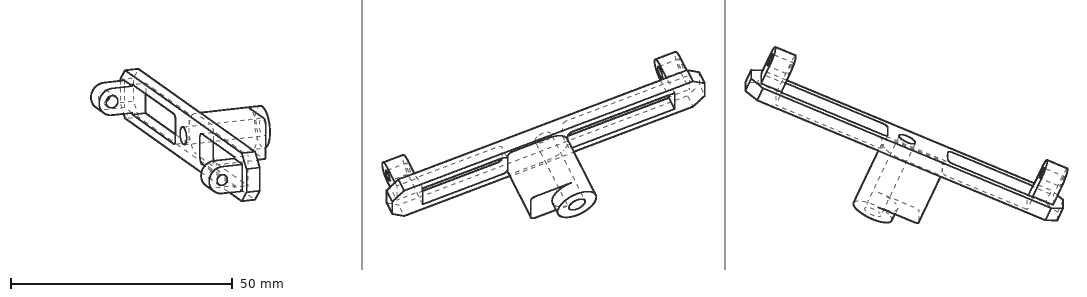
import cadquery as cq

plate_length = 77.0
plate_height = 11.3
plate_thickness = 3.2
corner_cut = 2.9

lug_end_gap = 2.5
lug_width = 5.0
lug_radius = 3.15
lug_reach = 8.1
left_pin_diameter = 2.85
right_pin_diameter = 2.5

window_height = 7.1
window_corner_radius = 1.2
left_window_inner_x = -4.8
right_window_inner_x = 10.1

hub_diameter = 9.55
hub_length = 15.95
bore_diameter = 4.0
block_width = 10.0
block_length = 12.8
block_edge_radius = 1.15

half_length = plate_length / 2
lug_outer_x = half_length - lug_end_gap
lug_inner_x = lug_outer_x - lug_width
pin_y = lug_radius - lug_reach


def make_plate():
    plate = cq.Workplane("XY").box(
        plate_length, plate_thickness, plate_height, centered=(True, False, True)
    )
    return plate.edges("|Y").chamfer(corner_cut)


def make_window(outer_x, inner_x, inner_side):
    """Window cutter, rounded only at the corners next to the plate centre."""
    width = abs(outer_x - inner_x)
    window = cq.Workplane("XY").box(
        width, plate_thickness, window_height, centered=(True, False, True)
    )
    window = window.faces(inner_side).edges("|Y").fillet(window_corner_radius)
    return window.translate(((outer_x + inner_x) / 2, 0, 0))


def make_lug(start_x, pin_diameter):
    """Round-ended lug extending from start_x toward +X, with a cross hole."""
    lug = (
        cq.Workplane("YZ", origin=(start_x, 0, 0))
        .moveTo(0, lug_radius)
        .lineTo(pin_y, lug_radius)
        .threePointArc((-lug_reach, 0), (pin_y, -lug_radius))
        .lineTo(0, -lug_radius)
        .close()
        .extrude(lug_width)
    )
    pin_hole = (
        cq.Workplane("YZ", origin=(start_x, pin_y, 0))
        .circle(pin_diameter / 2)
        .extrude(lug_width)
    )
    return lug.cut(pin_hole)


def make_rear_cylinder(diameter, start_y, end_y):
    return (
        cq.Workplane("XZ", origin=(0, start_y, 0))
        .circle(diameter / 2)
        .extrude(start_y - end_y)
    )


def make_block():
    """Block from the hub axis toward +X, as tall as the hub."""
    block = cq.Workplane("XY", origin=(0, plate_thickness, 0)).box(
        block_width, block_length, hub_diameter, centered=(False, False, True)
    )
    return block.faces(">X").edges("|Y").fillet(block_edge_radius)


hub_end_y = plate_thickness + hub_length

result = (
    make_plate()
    .cut(make_window(-lug_inner_x, left_window_inner_x, ">X"))
    .cut(make_window(lug_inner_x, right_window_inner_x, "<X"))
    .union(make_lug(-lug_outer_x, left_pin_diameter))
    .union(make_lug(lug_inner_x, right_pin_diameter))
    .union(make_rear_cylinder(hub_diameter, plate_thickness, hub_end_y))
    .union(make_block())
    .cut(make_rear_cylinder(bore_diameter, 0, hub_end_y))
)